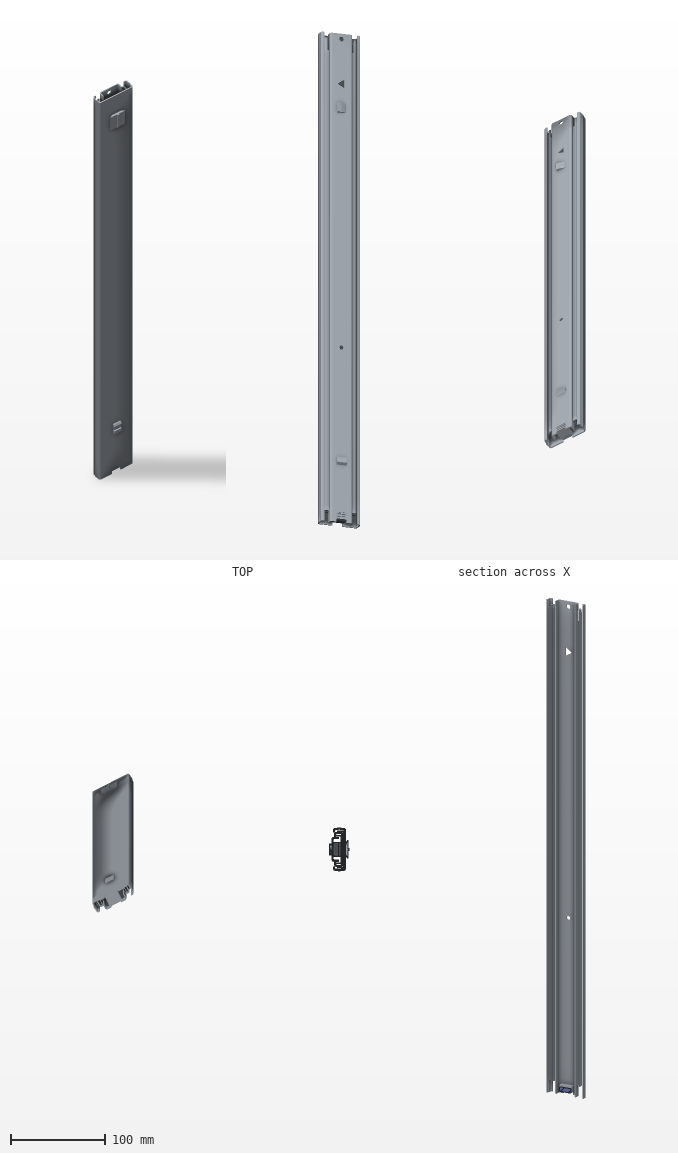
import cadquery as cq


LENGTH = 550.0
WIDTH = 45.5
SHEET = 1.2
TOP = LENGTH / 2
BOTTOM = -LENGTH / 2
FRONT_LIMIT = -10.5
BACK_LIMIT = 10.5

OUTER_FRONT = -6.0
OUTER_BACK = 6.5
OUTER_CORNER = 1.9
BULGE_HEIGHT = 0.5
BULGE_FRONT = -2.0
BULGE_BACK = 2.0
OUTER_LIP_Y = 18.5
OUTER_SIDE_Y = WIDTH / 2 - BULGE_HEIGHT

MIDDLE_FRONT = -5.0
MIDDLE_BACK = 4.0
MIDDLE_SIDE_Y = 18.0
MIDDLE_CORNER = 2.0
MIDDLE_LIP_Y = 13.0
MIDDLE_TOP = 269.5
MIDDLE_BOTTOM = -262.5
LIP_RELIEF_Y = 15.0
LIP_RELIEF_BOTTOM = 255.0

INNER_FRONT = -7.5
INNER_BACK = -0.5
INNER_SIDE_Y = 12.5
INNER_CORNER = 2.0
INNER_TOP = 274.5
INNER_BOTTOM = BOTTOM
TOP_HOLE_DIAMETER = 5.0
TOP_HOLE_Z = 268.5
LOWER_HOLE_DIAMETER = 4.5
LOWER_HOLE_Z = -78.5
ARROW_POINTS = [(4.5, 218.0), (-3.5, 223.5), (-3.5, 213.5)]

STOP_TOP = -264.0
STOP_BOTTOM = -271.0
NOTCH_WIDTH = 11.5
STOP_NOSE_FRONT = -7.0
STOP_BODY_FRONT = -6.0
STOP_BODY_WIDTH = 15.0
STOP_GROOVE_DEPTH = 1.0
STOP_RIBS = 3
STOP_STEP_FRONT = -0.5
STOP_STEP_BACK = 3.0
STOP_STEP_HEIGHT = 1.5

INNER_HOOK_TOP = -201.0
INNER_HOOK_HEIGHT = 10.5
INNER_HOOK_WIDTH = 11.5
INNER_HOOK_CREST = [(-9.0, -203.0), (-9.5, -206.0), (FRONT_LIMIT, -208.5)]
OUTER_HOOK_TOP = -203.0
OUTER_HOOK_HEIGHT = 13.0
OUTER_HOOK_BASE = 1.0
OUTER_HOOK_REACH = 3.0
OUTER_HOOK_TOP_PRONG = 2.0
OUTER_HOOK_BOTTOM_PRONG = 4.5
OUTER_HOOK_WIDTH = 10.0

BACK_PAD_SIZE = 18.5
BACK_PAD_Z = 240.0
BACK_PAD_FLARE = 4.0
BACK_PAD_FLARE_X = 9.0
BACK_PAD_BACK = 9.5
BACK_PAD_RIB_WIDTH = 2.0
FRONT_PAD_HEIGHT = 10.5
FRONT_PAD_Z = 191.0
FRONT_PAD_SECTION = [
    (INNER_FRONT, 5.5),
    (FRONT_LIMIT, 4.5),
    (-10.0, 0.8),
    (-9.0, -2.0),
    (INNER_FRONT, -5.0),
]

CAGE_SHEET = 0.5
CAGE_TOP = 267.5
CAGE_BOTTOM = -260.5
OUTER_CAGE_FRONT = -1.5
OUTER_CAGE_BACK = 5.0
OUTER_CAGE_SIDE_Y = 20.0
INNER_CAGE_FRONT = -3.5
INNER_CAGE_BACK = 2.0
INNER_CAGE_SIDE_Y = 15.0


def block(x_range, y_range, z_range):
    """Box between two limits along each axis."""
    (x0, x1), (y0, y1), (z0, z1) = x_range, y_range, z_range
    return cq.Workplane("XY").box(x1 - x0, y1 - y0, z1 - z0, centered=False).translate((x0, y0, z0))


def across(width, center=0.0):
    """Limits of a width about a center."""
    return (center - width / 2, center + width / 2)


def round_bar(front, back, side_y, corner, z_range):
    """Upright bar with rounded long edges."""
    return block((front, back), (-side_y, side_y), z_range).edges("|Z").fillet(corner)


def bulged_bar(inset):
    """Full-length bar of the outer rail, with an arched rib along each side, drawn in by an inset."""
    bar = round_bar(OUTER_FRONT + inset, OUTER_BACK - inset, OUTER_SIDE_Y - inset,
                    OUTER_CORNER - inset, (BOTTOM, TOP))
    for side in (1, -1):
        base_y = side * (OUTER_SIDE_Y - inset)
        root_y = base_y - side * SHEET / 2
        crest = ((BULGE_FRONT + BULGE_BACK) / 2, base_y + side * BULGE_HEIGHT)
        rib = (
            cq.Workplane("XY", origin=(0, 0, BOTTOM))
            .moveTo(BULGE_FRONT, root_y)
            .lineTo(BULGE_FRONT, base_y)
            .threePointArc(crest, (BULGE_BACK, base_y))
            .lineTo(BULGE_BACK, root_y)
            .close()
            .extrude(LENGTH)
        )
        bar = bar.union(rib)
    return bar


def outer_hook():
    """Two-pronged hook on the back of the outer rail."""
    z_low = OUTER_HOOK_TOP - OUTER_HOOK_HEIGHT
    base = OUTER_BACK + OUTER_HOOK_BASE
    tip = OUTER_BACK + OUTER_HOOK_REACH
    z_top_prong = OUTER_HOOK_TOP - OUTER_HOOK_TOP_PRONG
    z_bottom_prong = z_low + OUTER_HOOK_BOTTOM_PRONG
    points = [
        (OUTER_BACK - SHEET / 2, z_low),
        (tip, z_low),
        (tip, z_bottom_prong),
        (base, z_bottom_prong),
        (base, z_top_prong),
        (tip, z_top_prong),
        (base, OUTER_HOOK_TOP),
        (OUTER_BACK - SHEET / 2, OUTER_HOOK_TOP),
    ]
    return cq.Workplane("XZ").polyline(points).close().extrude(OUTER_HOOK_WIDTH / 2, both=True)


def bottom_stop():
    """Stop that reaches forward from the web of the outer rail, with a ribbed nose and a stepped top."""
    nose_y = across(NOTCH_WIDTH)
    body_y = across(STOP_BODY_WIDTH)
    stop = block((STOP_BODY_FRONT, OUTER_BACK - SHEET / 2), body_y, (STOP_BOTTOM, STOP_TOP))
    stop = stop.union(block((STOP_NOSE_FRONT, STOP_BODY_FRONT), nose_y, (STOP_BOTTOM, STOP_TOP)))
    rib_height = (STOP_TOP - STOP_BOTTOM) / (2 * STOP_RIBS - 1)
    groove_x = (STOP_NOSE_FRONT, STOP_NOSE_FRONT + STOP_GROOVE_DEPTH)
    for groove in range(STOP_RIBS - 1):
        z_low = STOP_BOTTOM + (2 * groove + 1) * rib_height
        stop = stop.cut(block(groove_x, nose_y, (z_low, z_low + rib_height)))
    step = block((STOP_STEP_FRONT, STOP_STEP_BACK), body_y, (STOP_TOP - STOP_STEP_HEIGHT, STOP_TOP))
    return stop.cut(step)


def make_outer_rail():
    """Full-length C-shaped rail, open to the front, with a hook, a stop and a bottom notch."""
    rail = bulged_bar(0).cut(bulged_bar(SHEET))
    rail = rail.cut(block((OUTER_FRONT, 0), (-OUTER_LIP_Y, OUTER_LIP_Y), (BOTTOM, TOP)))
    rail = rail.cut(block((0, OUTER_BACK), across(NOTCH_WIDTH), (BOTTOM, STOP_BOTTOM)))
    return rail.union(outer_hook()).union(bottom_stop())


def make_middle_rail():
    """C-shaped rail inside the outer one, with its lips cut back at the top."""
    z_range = (MIDDLE_BOTTOM, MIDDLE_TOP)
    skin = round_bar(MIDDLE_FRONT, MIDDLE_BACK, MIDDLE_SIDE_Y, MIDDLE_CORNER, z_range)
    core = round_bar(MIDDLE_FRONT + SHEET, MIDDLE_BACK - SHEET, MIDDLE_SIDE_Y - SHEET,
                     MIDDLE_CORNER - SHEET, z_range)
    front = (MIDDLE_FRONT, 0)
    mouth = block(front, (-MIDDLE_LIP_Y, MIDDLE_LIP_Y), z_range)
    relief = block(front, (-LIP_RELIEF_Y, LIP_RELIEF_Y), (LIP_RELIEF_BOTTOM, MIDDLE_TOP))
    return skin.cut(core).cut(mouth).cut(relief)


def inner_hook():
    """Louver-like hook on the front of the inner rail."""
    z_low = INNER_HOOK_TOP - INNER_HOOK_HEIGHT
    root = INNER_FRONT + SHEET / 2
    points = [(root, INNER_HOOK_TOP)] + INNER_HOOK_CREST + [(root, z_low)]
    return cq.Workplane("XZ").polyline(points).close().extrude(INNER_HOOK_WIDTH / 2, both=True)


def make_inner_rail():
    """U-shaped rail with its web to the front, its holes, a bottom notch and a hook."""
    z_range = (INNER_BOTTOM, INNER_TOP)
    skin = block((INNER_FRONT, INNER_BACK), (-INNER_SIDE_Y, INNER_SIDE_Y), z_range)
    skin = skin.edges("|Z and <X").fillet(INNER_CORNER)
    core_side = INNER_SIDE_Y - SHEET
    core = block((INNER_FRONT + SHEET, INNER_BACK), (-core_side, core_side), z_range)
    core = core.edges("|Z and <X").fillet(INNER_CORNER - SHEET)
    rail = skin.cut(core)

    web = (INNER_FRONT, INNER_FRONT + SHEET)
    web_plane = cq.Workplane("YZ", origin=(INNER_FRONT, 0, 0))
    rail = rail.cut(web_plane.center(0, TOP_HOLE_Z).circle(TOP_HOLE_DIAMETER / 2).extrude(SHEET))
    rail = rail.cut(web_plane.polyline(ARROW_POINTS).close().extrude(SHEET))
    rail = rail.cut(web_plane.center(0, LOWER_HOLE_Z).circle(LOWER_HOLE_DIAMETER / 2).extrude(SHEET))
    rail = rail.cut(block(web, across(NOTCH_WIDTH), (INNER_BOTTOM, STOP_TOP)))
    return rail.union(inner_hook())


def make_back_pad():
    """Square pad on the back of the outer rail, flared in width, with an upright rib on its back."""
    wide = BACK_PAD_SIZE / 2
    narrow = wide - BACK_PAD_FLARE
    points = [
        (OUTER_BACK, narrow),
        (BACK_PAD_FLARE_X, wide),
        (BACK_PAD_BACK, wide),
        (BACK_PAD_BACK, -wide),
        (BACK_PAD_FLARE_X, -wide),
        (OUTER_BACK, -narrow),
    ]
    z_range = across(BACK_PAD_SIZE, BACK_PAD_Z)
    pad = cq.Workplane("XY", origin=(0, 0, z_range[0])).polyline(points).close().extrude(BACK_PAD_SIZE)
    return pad.union(block((BACK_PAD_FLARE_X, BACK_LIMIT), across(BACK_PAD_RIB_WIDTH), z_range))


def make_front_pad():
    """Crowned pad on the web of the inner rail."""
    z_low = FRONT_PAD_Z - FRONT_PAD_HEIGHT / 2
    section = cq.Workplane("XY", origin=(0, 0, z_low)).polyline(FRONT_PAD_SECTION).close()
    return section.extrude(FRONT_PAD_HEIGHT)


def make_cage(front, back, side_y):
    """U-shaped ball cage, open to the front, that lies between two nested rails."""
    z_range = (CAGE_BOTTOM, CAGE_TOP)
    inner_y = side_y - CAGE_SHEET
    skin = block((front, back), (-side_y, side_y), z_range)
    return skin.cut(block((front, back - CAGE_SHEET), (-inner_y, inner_y), z_range))


outer_rail = make_outer_rail()
middle_rail = make_middle_rail()
inner_rail = make_inner_rail()
back_pad = make_back_pad()
front_pad = make_front_pad()
cages = [
    make_cage(front, back, side_y)
    for front, back, side_y in (
        (OUTER_CAGE_FRONT, OUTER_CAGE_BACK, OUTER_CAGE_SIDE_Y),
        (INNER_CAGE_FRONT, INNER_CAGE_BACK, INNER_CAGE_SIDE_Y),
    )
]

result = cq.Compound.makeCompound(
    [outer_rail.val(), middle_rail.val(), inner_rail.val(), back_pad.val(), front_pad.val()]
    + [cage.val() for cage in cages]
)